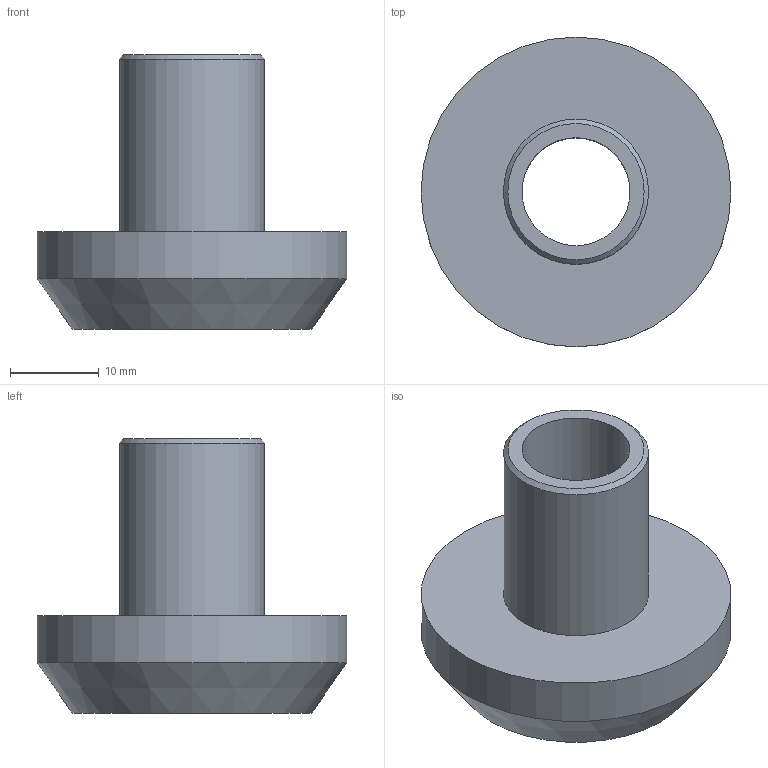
import cadquery as cq
import math

total_height = 31.0
flange_diameter = 35.0
flange_top = 11.0
base_diameter = 27.0
cone_angle = 35.0
stem_diameter = 16.4
bore_diameter = 12.2
stem_chamfer = 0.5

flange_radius = flange_diameter / 2
base_radius = base_diameter / 2
stem_height = total_height - flange_top
cone_height = (flange_radius - base_radius) / math.tan(math.radians(cone_angle))


def make_head():
    """Flange disc with a conical underside, standing on the XY plane."""
    half_profile = (
        cq.Workplane("XZ")
        .lineTo(base_radius, 0)
        .lineTo(flange_radius, cone_height)
        .lineTo(flange_radius, flange_top)
        .lineTo(0, flange_top)
        .close()
    )
    return half_profile.revolve(360, (0, 0, 0), (0, 1, 0))


def make_stem():
    """Cylindrical stem above the flange, chamfered at its top rim."""
    return (
        cq.Workplane("XY")
        .workplane(offset=flange_top)
        .circle(stem_diameter / 2)
        .extrude(stem_height)
        .faces(">Z")
        .edges()
        .chamfer(stem_chamfer)
    )


def make_bore():
    """Straight bore through the full height."""
    return cq.Workplane("XY").circle(bore_diameter / 2).extrude(total_height)


result = make_head().union(make_stem()).cut(make_bore())